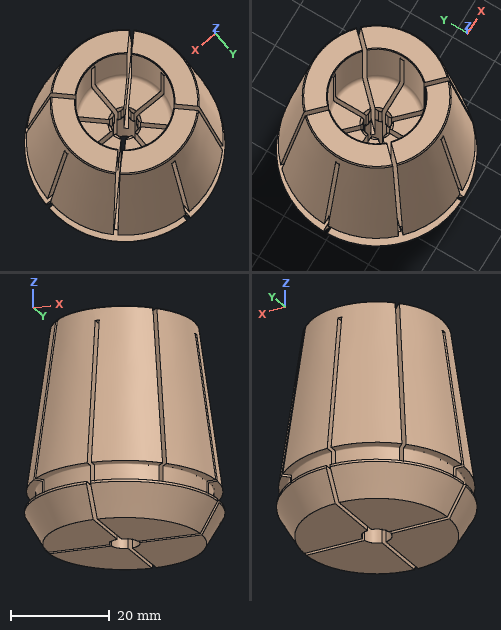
import cadquery as cq
import math

height = 46.0
flange_radius = 20.4

flange_top_z = 7.0
flange_rim_height = 0.5
nose_half_angle = math.radians(30)

groove_top_z = 11.1
groove_radius = 18.1
groove_corner_radius = 0.2

body_half_angle = math.radians(8)
body_bottom_radius = 20.0
edge_break = 0.25

relief_radius = 10.0
relief_floor_fillet = 0.9
relief_mouth_chamfer = 0.2
grip_radius = 3.1
grip_depth = 18.0

drive_width = 5.15
drive_depth = 8.0
drive_pilot_radius = 2.8
drive_mouth_radius = 3.4

slot_width = 0.9
slots_per_set = 4
slot_pitch = 360 / slots_per_set
lower_slot_top_z = 43.0
upper_slot_floor_z = 7.5

relief_floor_z = grip_depth + drive_depth
flange_rim_bottom_z = flange_top_z - flange_rim_height
nose_radius = flange_radius - flange_rim_bottom_z * math.tan(nose_half_angle)
body_top_radius = body_bottom_radius - (height - groove_top_z) * math.tan(body_half_angle)


def outer_body():
    """Revolved nose, flange, groove and body cone, without any bore."""
    break_z = height - edge_break
    break_radius = body_top_radius + edge_break * math.tan(body_half_angle)
    corner_mid = groove_corner_radius * (1 - math.sqrt(0.5))
    corner_outer = groove_radius + groove_corner_radius
    corner_middle = groove_radius + corner_mid
    profile = (
        cq.Workplane("XZ")
        .lineTo(nose_radius, 0)
        .lineTo(flange_radius, flange_rim_bottom_z)
        .lineTo(flange_radius, flange_top_z)
        .lineTo(corner_outer, flange_top_z)
        .threePointArc(
            (corner_middle, flange_top_z + corner_mid),
            (groove_radius, flange_top_z + groove_corner_radius),
        )
        .lineTo(groove_radius, groove_top_z - groove_corner_radius)
        .threePointArc(
            (corner_middle, groove_top_z - corner_mid),
            (corner_outer, groove_top_z),
        )
        .lineTo(body_bottom_radius, groove_top_z)
        .lineTo(break_radius, break_z)
        .lineTo(body_top_radius - edge_break, height)
        .lineTo(0, height)
        .close()
    )
    return profile.revolve(360, (0, 0, 0), (0, 1, 0))


def stepped_bore():
    """Revolved void: grip, pilot of the drive, its conical mouth, then the relief bore."""
    mouth_depth = drive_mouth_radius - drive_pilot_radius
    fillet_mid = relief_floor_fillet * (1 - math.sqrt(0.5))
    profile = (
        cq.Workplane("XZ")
        .lineTo(grip_radius, 0)
        .lineTo(grip_radius, grip_depth)
        .lineTo(drive_pilot_radius, grip_depth)
        .lineTo(drive_pilot_radius, relief_floor_z - mouth_depth)
        .lineTo(drive_mouth_radius, relief_floor_z)
        .lineTo(relief_radius - relief_floor_fillet, relief_floor_z)
        .threePointArc(
            (relief_radius - fillet_mid, relief_floor_z + fillet_mid),
            (relief_radius, relief_floor_z + relief_floor_fillet),
        )
        .lineTo(relief_radius, height - relief_mouth_chamfer)
        .lineTo(relief_radius + relief_mouth_chamfer, height)
        .lineTo(0, height)
        .close()
    )
    return profile.revolve(360, (0, 0, 0), (0, 1, 0))


def square_drive():
    """Square void for the shank's square end, with flats facing X and Y."""
    return cq.Workplane("XY", origin=(0, 0, grip_depth)).box(
        drive_width, drive_width, drive_depth, centered=(True, True, False)
    )


def radial_slots(start_angle, bottom_z, top_z):
    """One set of evenly spaced slots running from the axis out past the flange."""
    slots = cq.Workplane("XY")
    slot = cq.Workplane("XY", origin=(0, 0, bottom_z)).box(
        2 * flange_radius, slot_width, top_z - bottom_z, centered=(False, True, False)
    )
    for index in range(slots_per_set):
        angle = start_angle + index * slot_pitch
        slots = slots.add(slot.rotate((0, 0, 0), (0, 0, 1), angle))
    return slots.combine()


lower_slots = radial_slots(0, 0, lower_slot_top_z)
upper_slots = radial_slots(slot_pitch / 2, upper_slot_floor_z, height)

result = outer_body().cut(stepped_bore()).cut(square_drive()).cut(lower_slots).cut(upper_slots)